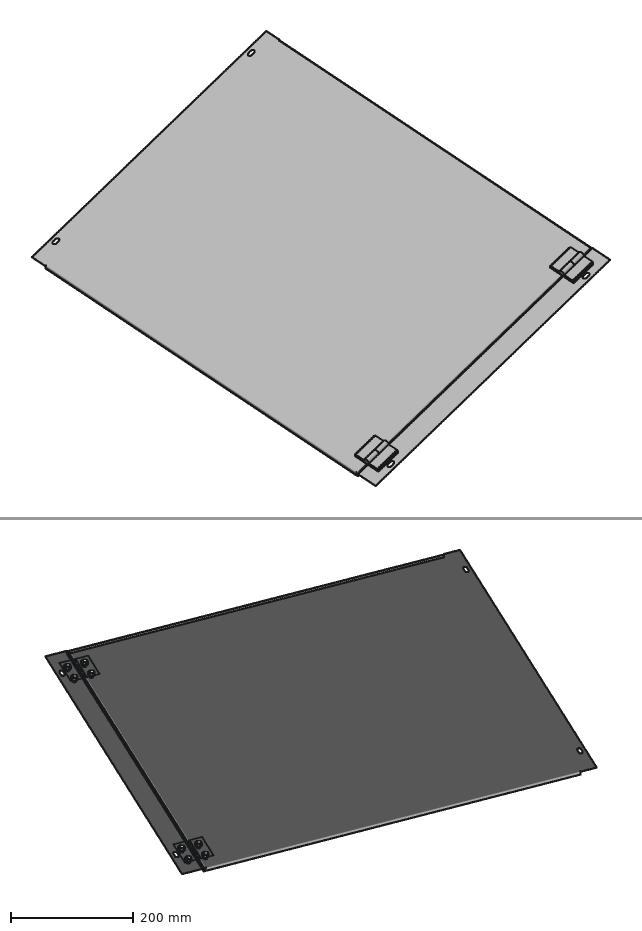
import cadquery as cq

TOTAL_LENGTH = 730.0
TOTAL_WIDTH = 599.0
TOTAL_HEIGHT = 23.0
BOTTOM_Z = -TOTAL_HEIGHT / 2
LEFT_X = -TOTAL_LENGTH / 2
RIGHT_X = TOTAL_LENGTH / 2

SHEET = 1.0
SHEET_TOP_Z = 1.0
SHEET_BOTTOM_Z = SHEET_TOP_Z - SHEET
FLANGE_DEPTH = 6.9
FLANGE_INSET = 28.5
BEND_INNER_RADIUS = SHEET
BEND_OUTER_RADIUS = BEND_INNER_RADIUS + SHEET
FLANGE_BOTTOM_Z = SHEET_TOP_Z - FLANGE_DEPTH

HINGE_X = 325.0
GAP = 2.0
DOOR_EDGE_X = HINGE_X - GAP / 2
STRIP_EDGE_X = HINGE_X + GAP / 2

HINGE_Y = 250.0
HINGE_SIZE = 50.5
LEAF_HEIGHT = 6.0
LEAF_BEVEL = 2.0
BARREL_RADIUS = (TOTAL_HEIGHT / 2 - SHEET_TOP_Z) / 2
BARREL_Z = TOTAL_HEIGHT / 2 - BARREL_RADIUS
STUD_DIAMETER = 6.0
STUD_SPACING = 30.0
STUD_CHAMFER = 1.5
NUT_ACROSS_FLATS = 10.0
NUT_HEIGHT = 5.5

SLOT_LENGTH = 14.0
SLOT_WIDTH = 6.5
SLOT_EDGE_DISTANCE = 9.5

ROW_Y = (-HINGE_Y, HINGE_Y)


def box(x_range, y_range, z_range):
    """A block between the given limits."""
    lengths = [high - low for low, high in (x_range, y_range, z_range)]
    return cq.Workplane("XY").box(*lengths, centered=False).translate((x_range[0], y_range[0], z_range[0]))


def slots(x):
    """Cutters for the mounting slots in one upright row."""
    return (
        cq.Workplane("XY", origin=(0, 0, SHEET_BOTTOM_Z))
        .pushPoints([(x, y) for y in ROW_Y])
        .slot2D(SLOT_LENGTH, SLOT_WIDTH, 90)
        .extrude(SHEET)
    )


def flanged_tray():
    """The door area with flanges bent down along three edges, open on the left and below."""
    tray_left = LEFT_X + FLANGE_INSET
    half_width = TOTAL_WIDTH / 2
    bends = "(|X and >Z) or (|Y and >Z and >X)"
    outside = box(
        (tray_left, DOOR_EDGE_X), (-half_width, half_width), (FLANGE_BOTTOM_Z, SHEET_TOP_Z)
    ).edges(bends).fillet(BEND_OUTER_RADIUS)
    inside = box(
        (tray_left, DOOR_EDGE_X - SHEET),
        (SHEET - half_width, half_width - SHEET),
        (FLANGE_BOTTOM_Z, SHEET_BOTTOM_Z),
    ).edges(bends).fillet(BEND_INNER_RADIUS)
    return outside.cut(inside)


def door_panel():
    """The large sheet: a flat slotted margin on the left and the flanged tray."""
    margin = box(
        (LEFT_X, LEFT_X + FLANGE_INSET),
        (-TOTAL_WIDTH / 2, TOTAL_WIDTH / 2),
        (SHEET_BOTTOM_Z, SHEET_TOP_Z),
    )
    return margin.union(flanged_tray()).cut(slots(LEFT_X + SLOT_EDGE_DISTANCE))


def strip_panel():
    """The narrow slotted sheet with one flange bent down along the hinge line."""
    y_range = (-TOTAL_WIDTH / 2, TOTAL_WIDTH / 2)
    outside = box((STRIP_EDGE_X, RIGHT_X), y_range, (FLANGE_BOTTOM_Z, SHEET_TOP_Z))
    inside = box((STRIP_EDGE_X + SHEET, RIGHT_X), y_range, (FLANGE_BOTTOM_Z, SHEET_BOTTOM_Z))
    bend = "<X and >Z"
    strip = outside.edges(bend).fillet(BEND_OUTER_RADIUS).cut(inside.edges(bend).fillet(BEND_INNER_RADIUS))
    return strip.cut(slots(RIGHT_X - SLOT_EDGE_DISTANCE))


def half_barrel(y_side):
    """The half of the hinge barrel on the given Y side of the hinge centre."""
    return (
        cq.Workplane("XZ", origin=(HINGE_X, 0, BARREL_Z))
        .circle(BARREL_RADIUS)
        .extrude(-y_side * HINGE_SIZE / 2)
    )


def leaf(x_side, y):
    """One hinge leaf with its half of the barrel, its two studs and their hexagon nuts."""
    barrel_side = -x_side
    inner_x, outer_x = sorted((HINGE_X + x_side * GAP / 2, HINGE_X + x_side * HINGE_SIZE / 2))
    plate = box(
        (inner_x, outer_x),
        (-HINGE_SIZE / 2, HINGE_SIZE / 2),
        (SHEET_TOP_Z, SHEET_TOP_Z + LEAF_HEIGHT),
    )
    outer_side = ">X" if x_side > 0 else "<X"
    plate = plate.faces(">Z").edges(outer_side).chamfer(LEAF_BEVEL)
    stud_centres = [(HINGE_X + x_side * STUD_SPACING / 2, side * STUD_SPACING / 2) for side in (-1, 1)]
    studs = (
        cq.Workplane("XY", origin=(0, 0, BOTTOM_Z))
        .pushPoints(stud_centres)
        .circle(STUD_DIAMETER / 2)
        .extrude(SHEET_TOP_Z - BOTTOM_Z)
        .faces("<Z")
        .chamfer(STUD_CHAMFER)
    )
    nuts = (
        cq.Workplane("XY", origin=(0, 0, SHEET_BOTTOM_Z))
        .pushPoints(stud_centres)
        .polygon(6, NUT_ACROSS_FLATS, circumscribed=True)
        .extrude(-NUT_HEIGHT)
    )
    plate = plate.cut(half_barrel(-barrel_side)).union(half_barrel(barrel_side))
    whole = plate.union(studs).union(nuts)
    return whole.translate((0, y, 0))


def add_leaves(panel, x_side):
    """Join one side's leaf of every hinge to its panel."""
    for y in ROW_Y:
        panel = panel.union(leaf(x_side, y))
    return panel


door = add_leaves(door_panel(), -1)
strip = add_leaves(strip_panel(), 1)

result = cq.Compound.makeCompound([door.solids().val(), strip.solids().val()])